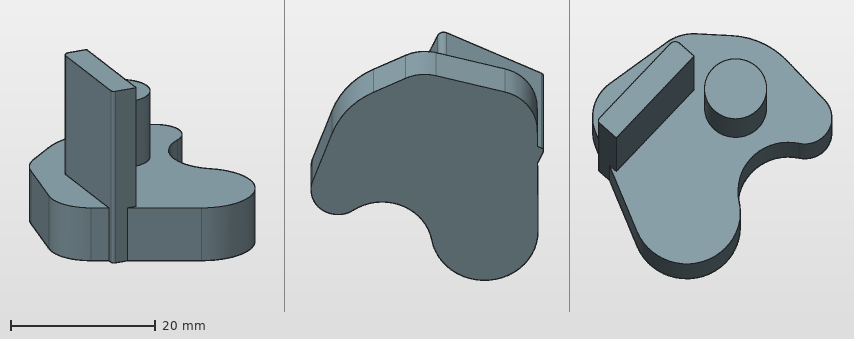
import cadquery as cq
import math

base_height = 7.9
pin_top = 17.7
plate_top = 25.58

ear = (4.4, 23.35, 3.75)
left_side = (11.25, 15.03, 11.25)
lower_left = (10.5, 8.0, 6.18)
lower_right = (20.15, 6.0, 6.0)
lobe = (25.45, 20.45, 7.43)
valley_radius = 6.97

pin_x = 9.8
pin_y = 15.25
pin_radius = 4.3

plate_left = 11.8
plate_front = 5.65
plate_width = 15.95
plate_thickness = 3.65
left_corner_radius = 0.95
right_corner_radius = 0.5


def point_on(disc, angle):
    x, y, radius = disc
    return (x + radius * math.cos(angle), y + radius * math.sin(angle))


def tangent_normal(first, second):
    """Outward normal angle of the outer tangent line between counterclockwise neighbours."""
    dx = second[0] - first[0]
    dy = second[1] - first[1]
    lean = math.acos((first[2] - second[2]) / math.hypot(dx, dy))
    return math.atan2(dy, dx) - lean


def bearing(start, end):
    return math.atan2(end[1] - start[1], end[0] - start[0])


def valley_disc():
    """Disc above the ear and lobe that touches both from outside."""
    ear_reach = ear[2] + valley_radius
    lobe_reach = lobe[2] + valley_radius
    spacing = math.dist(ear[:2], lobe[:2])
    cosine = (ear_reach**2 + spacing**2 - lobe_reach**2) / (2 * ear_reach * spacing)
    angle = bearing(ear, lobe) + math.acos(cosine)
    return (ear[0] + ear_reach * math.cos(angle), ear[1] + ear_reach * math.sin(angle), valley_radius)


def add_arc(outline, disc, start, end):
    """Continue the outline along a counterclockwise arc of the disc."""
    sweep = (end - start) % (2 * math.pi)
    return outline.threePointArc(point_on(disc, start + sweep / 2), point_on(disc, end))


def make_base():
    discs = [ear, left_side, lower_left, lower_right, lobe]
    valley = valley_disc()
    normals = [tangent_normal(first, second) for first, second in zip(discs, discs[1:])]
    angles = [bearing(ear, valley)] + normals + [bearing(lobe, valley)]

    outline = cq.Workplane("XY").moveTo(*point_on(ear, angles[0]))
    outline = add_arc(outline, ear, angles[0], angles[1])
    for disc, start, end in zip(discs[1:], angles[1:], angles[2:]):
        outline = outline.lineTo(*point_on(disc, start))
        outline = add_arc(outline, disc, start, end)

    valley_bottom = point_on(valley, -math.pi / 2)
    outline = outline.threePointArc(valley_bottom, point_on(ear, angles[0]))
    return outline.close().extrude(base_height)


def make_pin():
    return cq.Workplane("XY").center(pin_x, pin_y).circle(pin_radius).extrude(pin_top)


def make_plate():
    """Plate rising from the bottom face, overhanging the base on the +X side."""
    plate = cq.Workplane("XY").box(plate_width, plate_thickness, plate_top, centered=False)
    plate = plate.translate((plate_left, plate_front, 0))
    plate = plate.edges("|Z and <X and <Y").fillet(left_corner_radius)
    return plate.edges("|Z and >X and <Y").fillet(right_corner_radius)


result = make_base().union(make_pin()).union(make_plate())